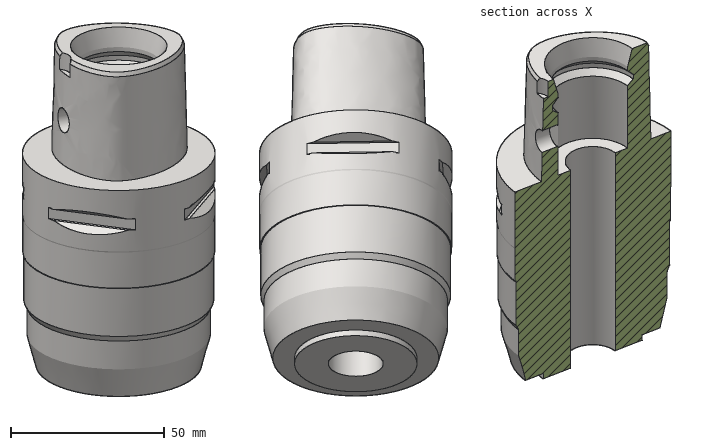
import cadquery as cq
import math

total_height = 115.0
taper_length = 38.0
flange_face_z = total_height - taper_length

flange_radius = 31.5
flange_bottom_z = 55.3
collar_radius = 31.4
collar_top_z = 54.9
collar_bottom_z = 42.2
sleeve_radius = 31.0
sleeve_bottom_z = 25.1
nut_radius = 30.0
nut_top_z = 23.0
nut_cone_top_z = 12.9
nut_cone_end_radius = 27.1
nut_bottom_z = 2.1
nose_radius = 20.0

shank_base_width = 44.3
shank_taper = 1 / 20
shank_eccentricity = 1.4
shank_points = 24
end_bevel_height = 1.4
end_bevel_inset = 0.7

through_radius = 9.0
mouth_radius = 15.8
lip_radius = 13.9
lip_top_depth = 6.4
lip_bottom_depth = 7.9
groove_radius = 16.2
groove_bottom_depth = 12.0
bore_radius = lip_radius
bore_shoulder_depth = 13.8
bore_depth = taper_length

notch_width = 7.6
notch_depth = 6.0
notch_radius = 5.3
notch_apex_y = -18.0
side_hole_radius = 4.1
side_hole_z = 92.5
side_hole_bottom_y = -14.4

slot_count = 4
slot_first_angle = 45
slot_z = 64.9
slot_floor_distance = 27.7
slot_floor_height = 3.9
slot_flare_distance = 28.8
slot_mouth_height = 7.8


def polygon_section(width, z):
    """Closed curve of constant width with three rounded lobes, one of them toward +Y."""
    points = []
    for i in range(shank_points):
        angle = 2 * math.pi * i / shank_points
        lobe_angle = 3 * (angle - math.pi / 2)
        reach = width / 2 + shank_eccentricity * math.cos(lobe_angle)
        slope = -3 * shank_eccentricity * math.sin(lobe_angle)
        points.append((
            reach * math.cos(angle) - slope * math.sin(angle),
            reach * math.sin(angle) + slope * math.cos(angle),
        ))
    edge = cq.Edge.makeSpline([cq.Vector(x, y, z) for x, y in points], periodic=True)
    return cq.Wire.assembleEdges([edge])


def revolve_profile(profile):
    """Solid turned about Z from (radius, z) points."""
    return cq.Workplane("YZ").polyline(profile).close().revolve(360, (0, 0), (0, 1))


def make_body():
    profile = [
        (0, 0),
        (nose_radius, 0),
        (nose_radius, nut_bottom_z),
        (nut_cone_end_radius, nut_bottom_z),
        (nut_radius, nut_cone_top_z),
        (nut_radius, nut_top_z),
        (sleeve_radius, sleeve_bottom_z),
        (sleeve_radius, collar_bottom_z),
        (collar_radius, collar_bottom_z),
        (collar_radius, collar_top_z),
        (flange_radius, flange_bottom_z),
        (flange_radius, flange_face_z),
        (0, flange_face_z),
    ]
    return revolve_profile(profile)


def make_shank():
    bevel_z = total_height - end_bevel_height
    bevel_width = shank_base_width - shank_taper * (bevel_z - flange_face_z)
    end_width = bevel_width - 2 * end_bevel_inset
    base = polygon_section(shank_base_width, flange_face_z)
    bevel = polygon_section(bevel_width, bevel_z)
    end = polygon_section(end_width, total_height)
    taper = cq.Solid.makeLoft([base, bevel], True)
    end_bevel = cq.Solid.makeLoft([bevel, end], True)
    return cq.Workplane(taper).union(cq.Workplane(end_bevel))


def make_bore():
    groove_top_depth = lip_bottom_depth + groove_radius - lip_radius
    steps = [
        (0, 0),
        (mouth_radius, 0),
        (lip_radius, lip_top_depth),
        (lip_radius, lip_bottom_depth),
        (groove_radius, groove_top_depth),
        (groove_radius, groove_bottom_depth),
        (bore_radius, bore_shoulder_depth),
        (bore_radius, bore_depth),
        (through_radius, bore_depth),
        (through_radius, total_height),
        (0, total_height),
    ]
    profile = [(radius, total_height - depth) for radius, depth in steps]
    return revolve_profile(profile)


def make_notch():
    """Upright round-backed cutter, trimmed to the width of the notch."""
    bottom_z = total_height - notch_depth
    center_y = notch_apex_y - notch_radius
    floor = cq.Workplane("XY", origin=(0, center_y, bottom_z))
    cutter = floor.circle(notch_radius).extrude(notch_depth)
    sides = floor.rect(notch_width, 2 * notch_radius).extrude(notch_depth)
    return cutter.intersect(sides)


def make_side_hole():
    depth = side_hole_bottom_y + flange_radius
    return (
        cq.Workplane("XZ", origin=(0, side_hole_bottom_y, side_hole_z))
        .circle(side_hole_radius)
        .extrude(depth)
    )


def make_gripper_slot(angle):
    half_floor = slot_floor_height / 2
    half_mouth = slot_mouth_height / 2
    profile = [
        (slot_floor_distance, -half_floor),
        (slot_flare_distance, -half_floor),
        (flange_radius, -half_mouth),
        (flange_radius, half_mouth),
        (slot_flare_distance, half_floor),
        (slot_floor_distance, half_floor),
    ]
    return (
        cq.Workplane("XZ", origin=(0, 0, slot_z))
        .polyline(profile)
        .close()
        .extrude(flange_radius, both=True)
        .rotate((0, 0, 0), (0, 0, 1), angle)
    )


result = make_body().union(make_shank())
result = result.cut(make_bore())
result = result.cut(make_notch())
result = result.cut(make_side_hole())
for index in range(slot_count):
    result = result.cut(make_gripper_slot(slot_first_angle + index * 360 / slot_count))